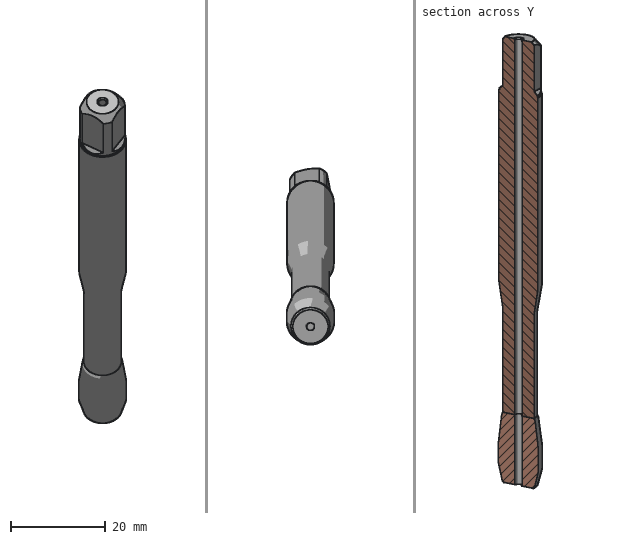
import cadquery as cq

total_length = 100.0
coolant_hole_diameter = 1.7
coolant_mouth_diameter = 2.3

head_diameter = 10.2
head_tip_diameter = 8.3
head_tip_chamfer = 0.4
head_shoulder_diameter = 8.6
head_lead_height = 4.1
head_land_top = 8.9
head_shoulder_height = 15.1
head_height = 15.8

neck_diameter = 8.0
neck_top = 39.0
shank_diameter = 10.0
shank_bottom = 45.0
shank_top = 87.8

drive_diameter = 9.6
drive_width = 8.0
drive_flat_bottom = 89.0
drive_end_diameter = 6.8
drive_end_chamfer_height = 1.6

shank_radius = shank_diameter / 2
drive_radius = drive_diameter / 2
drive_step = shank_radius - drive_radius


def revolve_profile(radius_height_points):
    """Turn a closed (radius, height) outline about the Z axis."""
    return cq.Workplane("XZ").polyline(radius_height_points).close().revolve(360, (0, 0), (0, 1))


def cut_coolant_hole(body):
    """Drill the axial coolant channel through the whole body."""
    hole = cq.Workplane("XY").circle(coolant_hole_diameter / 2).extrude(total_length)
    return body.cut(hole)


def countersink_drive_end(body):
    """Open the coolant channel with a 45 degree countersink in the top face."""
    mouth_radius = coolant_mouth_diameter / 2
    countersink = revolve_profile([
        (0, total_length),
        (mouth_radius, total_length),
        (0, total_length - mouth_radius),
    ])
    return body.cut(countersink)


def flat_cutter():
    """Removes one drive flat on the +X side, running out through a 45 degree ramp."""
    flat_x = drive_width / 2
    outer_x = shank_diameter
    ramp_bottom = drive_flat_bottom - (outer_x - flat_x)
    return (
        cq.Workplane("XZ")
        .moveTo(flat_x, total_length)
        .lineTo(flat_x, drive_flat_bottom)
        .lineTo(outer_x, ramp_bottom)
        .lineTo(outer_x, total_length)
        .close()
        .extrude(shank_radius, both=True)
    )


def make_head():
    """Barrel-shaped cutting head with a tapered lead and a tapered back."""
    head = revolve_profile([
        (0, 0),
        (head_tip_diameter / 2 - head_tip_chamfer, 0),
        (head_tip_diameter / 2, head_tip_chamfer),
        (head_diameter / 2, head_lead_height),
        (head_diameter / 2, head_land_top),
        (head_shoulder_diameter / 2, head_shoulder_height),
        (neck_diameter / 2, head_height),
        (0, head_height),
    ])
    return cut_coolant_hole(head)


def make_shank():
    """Neck, shank and square drive."""
    shank = revolve_profile([
        (0, head_height),
        (neck_diameter / 2, head_height),
        (neck_diameter / 2, neck_top),
        (shank_radius, shank_bottom),
        (shank_radius, shank_top),
        (drive_radius, shank_top + drive_step),
        (drive_radius, total_length - drive_end_chamfer_height),
        (drive_end_diameter / 2, total_length),
        (0, total_length),
    ])
    for angle in (0, 90, 180, 270):
        shank = shank.cut(flat_cutter().rotate((0, 0, 0), (0, 0, 1), angle))
    return countersink_drive_end(cut_coolant_hole(shank))


head = make_head()
shank = make_shank()

result = cq.Compound.makeCompound([head.val(), shank.val()])